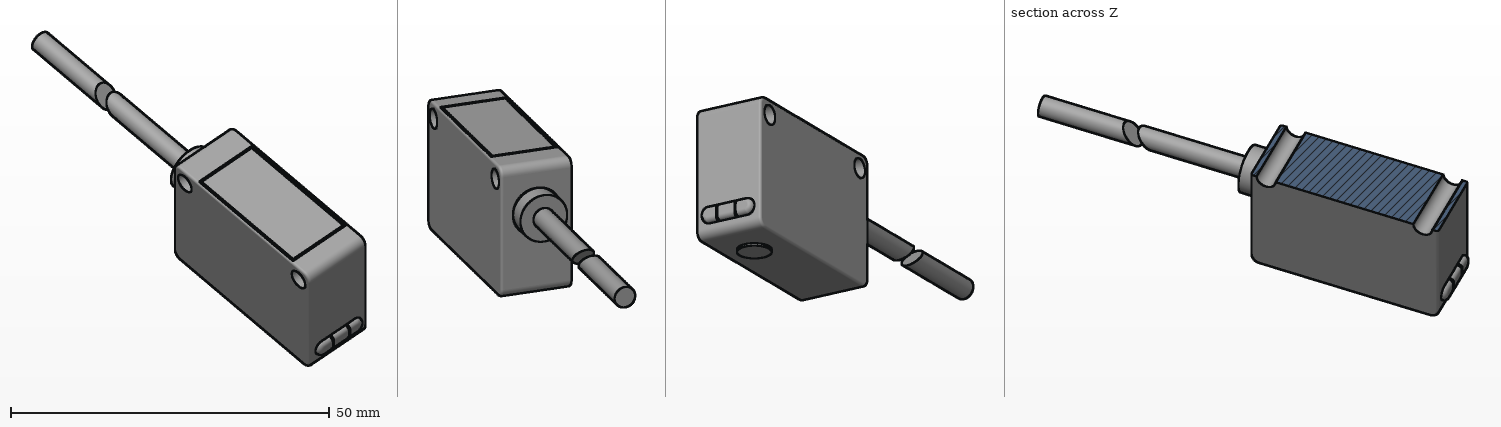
import cadquery as cq


housing_length = 32.05
housing_width = 12.0
housing_height = 22.1
corner_radius = 1.5
edge_radius = 0.4

mount_hole_diameter = 3.2
mount_hole_inset = 2.6

panel_start = 5.55
panel_length = 22.0
panel_width = 11.0
panel_groove_width = 0.18
panel_groove_depth = 0.15

disc_diameter = 5.5
disc_rise = 0.4
disc_x = 23.65
disc_y = -0.4

window_length = 9.6
window_straight_length = 7.4
window_height = 2.8
window_rise = 0.85
window_edge_radius = 0.8
window_z = 3.6
window_groove_spacing = 3.4
window_groove_width = 0.2
window_groove_depth = 0.1

cable_diameter = 3.5
cable_z = 14.0
gland_diameter = 7.9
gland_length = 3.0
gland_recess_diameter = 8.0
gland_recess_depth = 0.2
overall_length = 71.05
cable_end_x = housing_length + window_rise - overall_length
break_x = -22.7
break_gap = 2.55
break_slant = 3.0


def cylinder_along_x(diameter, start_x, end_x):
    return (
        cq.Workplane("YZ", origin=(start_x, 0, cable_z))
        .circle(diameter / 2)
        .extrude(end_x - start_x)
    )


def cable_piece(bottom_start, top_start, bottom_end, top_end):
    """Length of cable whose two ends are cut by planes leaning in XZ."""
    radius = cable_diameter / 2
    envelope = (
        cq.Workplane("XZ", origin=(0, 0, cable_z))
        .moveTo(bottom_start, -radius)
        .lineTo(bottom_end, -radius)
        .lineTo(top_end, radius)
        .lineTo(top_start, radius)
        .close()
        .extrude(radius, both=True)
    )
    rod = cylinder_along_x(cable_diameter, min(bottom_start, top_start), max(bottom_end, top_end))
    return rod.intersect(envelope)


def make_housing_block():
    block = (
        cq.Workplane("XY")
        .box(housing_length, housing_width, housing_height, centered=(False, True, False))
        .edges("|Y")
        .fillet(corner_radius)
        .faces("<Y or >Y")
        .edges()
        .fillet(edge_radius)
    )
    hole_z = housing_height - mount_hole_inset
    hole_points = [(mount_hole_inset, hole_z), (housing_length - mount_hole_inset, hole_z)]
    holes = (
        cq.Workplane("XZ")
        .pushPoints(hole_points)
        .circle(mount_hole_diameter / 2)
        .extrude(housing_width, both=True)
    )
    return block.cut(holes)


def make_panel_groove():
    center_x = panel_start + panel_length / 2
    return (
        cq.Workplane("XY", origin=(center_x, 0, housing_height))
        .rect(panel_length, panel_width)
        .rect(panel_length - 2 * panel_groove_width, panel_width - 2 * panel_groove_width)
        .extrude(-panel_groove_depth)
    )


def make_disc():
    return cq.Workplane("XY", origin=(disc_x, disc_y, 0)).circle(disc_diameter / 2).extrude(-disc_rise)


def window_shape(inset):
    """Rounded window with bowed ends, made smaller by the inset on every exposed side."""
    half_length = window_length / 2 - inset
    half_straight = window_straight_length / 2
    half_height = window_height / 2 - inset
    return (
        cq.Workplane("YZ", origin=(housing_length, 0, window_z))
        .moveTo(-half_straight, -half_height)
        .lineTo(half_straight, -half_height)
        .threePointArc((half_length, 0), (half_straight, half_height))
        .lineTo(-half_straight, half_height)
        .threePointArc((-half_length, 0), (-half_straight, -half_height))
        .close()
        .extrude(window_rise - inset)
        .faces(">X")
        .edges()
        .fillet(window_edge_radius - inset)
    )


def make_window():
    groove_points = [(side * window_groove_spacing / 2, 0) for side in (-1, 1)]
    band = (
        cq.Workplane("YZ", origin=(housing_length, 0, window_z))
        .pushPoints(groove_points)
        .rect(window_groove_width, window_height)
        .extrude(window_rise)
    )
    core = window_shape(window_groove_depth)
    return window_shape(0).cut(band.cut(core))


def make_cable_stub():
    start_x = break_x + break_gap
    half_slant = break_slant / 2
    return cable_piece(start_x + half_slant, start_x - half_slant, -gland_length, -gland_length)


def make_cable_tail():
    half_slant = break_slant / 2
    return cable_piece(cable_end_x, cable_end_x, break_x + half_slant, break_x - half_slant)


def make_sensor():
    gland = cylinder_along_x(gland_diameter, -gland_length, gland_recess_depth)
    gland_recess = cylinder_along_x(gland_recess_diameter, 0, gland_recess_depth)
    return (
        make_housing_block()
        .cut(make_panel_groove())
        .union(make_disc())
        .union(make_window())
        .cut(gland_recess)
        .union(gland)
        .union(make_cable_stub())
    )


sensor = make_sensor()
cable_tail = make_cable_tail()

result = cq.Compound.makeCompound([sensor.val(), cable_tail.val()])